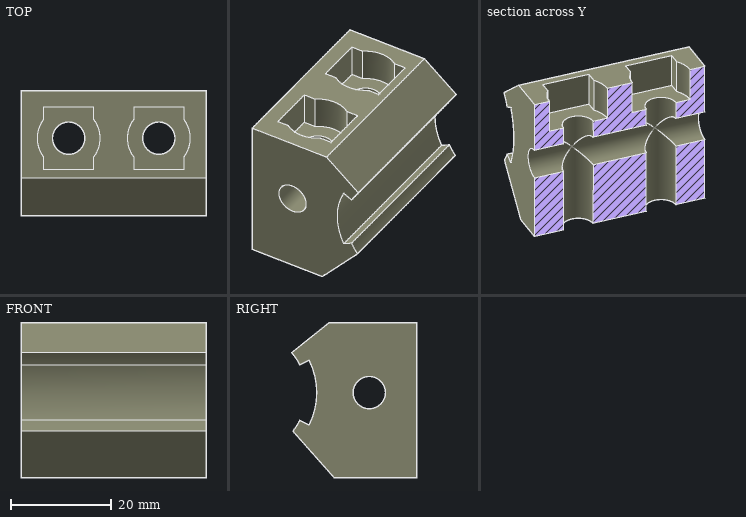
import cadquery as cq
import math

length = 37.0
depth = 25.0
height = 31.0

top_flat = 17.5
bottom_flat = 16.5

bore_diameter = 6.4
bore_from_back = 9.5

axis_z = 17.02
groove_radius = 14.43
groove_bottom_from_back = 20.0
lip_radius = 12.35
lip_angle = 26.5
lower_tip_angle = 38.5
cradle_axis = groove_bottom_from_back + groove_radius
upper_tip_angle = math.degrees(math.acos((cradle_axis - depth) / lip_radius))

pocket_pitch = 18.0
pocket_width = 10.0
pocket_length = 12.5
pocket_round_diameter = pocket_length
pocket_depth = 7.0


def cradle_point(radius, angle):
    """(Y, Z) point on a cradle circle; positive angles lie above the axis."""
    turn = math.radians(angle)
    return (radius * math.cos(turn) - cradle_axis, axis_z + radius * math.sin(turn))


def make_block():
    upper_mid_angle = (lip_angle + upper_tip_angle) / 2
    lower_mid_angle = (lip_angle + lower_tip_angle) / 2
    profile = (
        cq.Workplane("YZ", origin=(-length / 2, 0, 0))
        .moveTo(0, 0)
        .lineTo(0, height)
        .lineTo(-top_flat, height)
        .lineTo(*cradle_point(lip_radius, upper_tip_angle))
        .threePointArc(cradle_point(lip_radius, upper_mid_angle), cradle_point(lip_radius, lip_angle))
        .lineTo(*cradle_point(groove_radius, lip_angle))
        .threePointArc(cradle_point(groove_radius, 0), cradle_point(groove_radius, -lip_angle))
        .lineTo(*cradle_point(lip_radius, -lip_angle))
        .threePointArc(cradle_point(lip_radius, -lower_mid_angle), cradle_point(lip_radius, -lower_tip_angle))
        .lineTo(-bottom_flat, 0)
        .close()
    )
    return profile.extrude(length)


def make_cross_bore():
    return (
        cq.Workplane("YZ", origin=(-length / 2, -bore_from_back, axis_z))
        .circle(bore_diameter / 2)
        .extrude(length)
    )


def make_pocket_with_bore(x):
    """Rectangular pocket with bulged sides, and the bore through its floor."""
    top = cq.Workplane("XY", origin=(x, -bore_from_back, height))
    rectangle = top.rect(pocket_width, pocket_length).extrude(-pocket_depth)
    bulge = top.circle(pocket_round_diameter / 2).extrude(-pocket_depth)
    bore = top.circle(bore_diameter / 2).extrude(-height)
    return rectangle.union(bulge).union(bore)


result = make_block().cut(make_cross_bore())
for pocket_x in (-pocket_pitch / 2, pocket_pitch / 2):
    result = result.cut(make_pocket_with_bore(pocket_x))